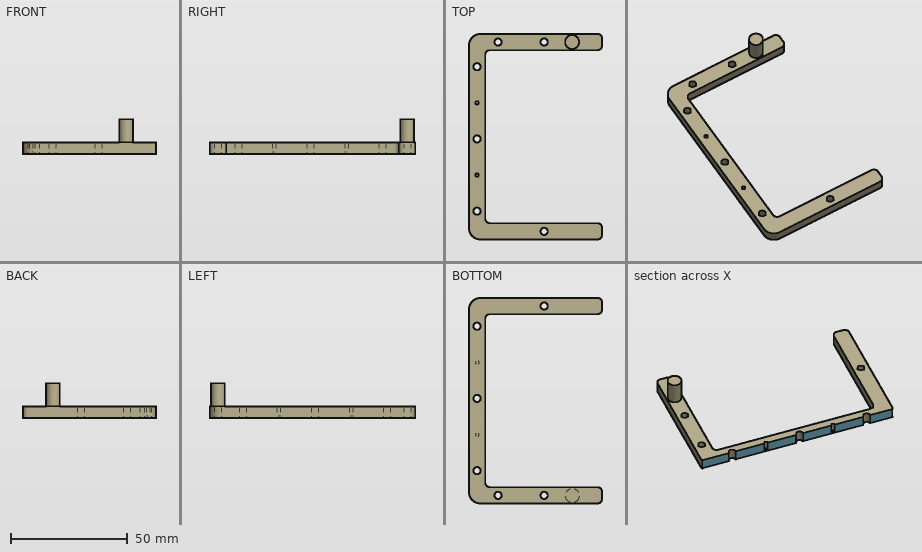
import cadquery as cq

length_x = 57.0
length_y = 88.0
total_height = 15.0
plate_thickness = 5.0
bar_width = 7.0

outer_corner_radius = 5.0
inner_corner_radius = 2.0
tip_radius = 2.0

hole_diameter = 3.0
small_hole_diameter = 1.5
small_hole_depth = 4.0
pin_diameter = 6.0
spine_center_y = -1.0
spine_hole_pitch = 30.9
corner_hole_x = 12.5
arm_hole_x = 32.2
pin_x = 44.2

spine_x = bar_width / 2
arm_y = length_y / 2 - bar_width / 2


def make_frame():
    """C-shaped plate with its back edge on X = 0 and its underside on Z = 0."""
    plate = (
        cq.Workplane("XY")
        .box(length_x, length_y, plate_thickness, centered=(False, True, False))
        .edges("|Z and <X")
        .fillet(outer_corner_radius)
    )
    opening = (
        cq.Workplane("XY")
        .box(length_x, length_y - 2 * bar_width, plate_thickness, centered=(False, True, False))
        .edges("|Z and <X")
        .fillet(inner_corner_radius)
        .translate((bar_width, 0, 0))
    )
    return plate.cut(opening).edges("|Z and >X").fillet(tip_radius)


def hole_cutters(points, diameter, depth):
    """Cutters for vertical holes sunk from the top face of the plate."""
    top_face = cq.Workplane("XY").workplane(offset=plate_thickness)
    return top_face.pushPoints(points).circle(diameter / 2).extrude(-depth)


def make_pin():
    """Upright pin on the +Y arm, standing from the underside up to full height."""
    return cq.Workplane("XY").center(pin_x, arm_y).circle(pin_diameter / 2).extrude(total_height)


spine_holes = [(spine_x, spine_center_y + step * spine_hole_pitch) for step in (-1, 0, 1)]
small_holes = [(spine_x, spine_center_y + side * spine_hole_pitch / 2) for side in (-1, 1)]
arm_holes = [(corner_hole_x, arm_y), (arm_hole_x, arm_y), (arm_hole_x, -arm_y)]

result = (
    make_frame()
    .cut(hole_cutters(spine_holes + arm_holes, hole_diameter, plate_thickness))
    .cut(hole_cutters(small_holes, small_hole_diameter, small_hole_depth))
    .union(make_pin())
)